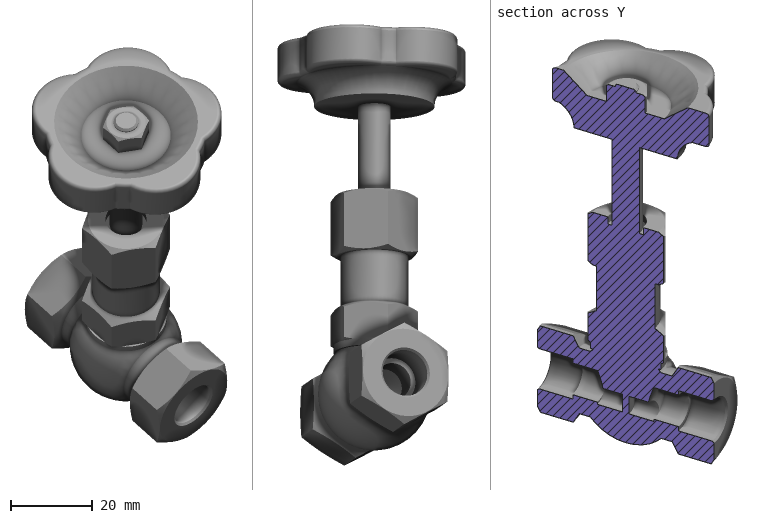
import cadquery as cq
import math


overall_height = 102

ball_radius = 13.8
run_half_length = 25.0
neck_diameter = 19.0
collar_diameter = 20.0
collar_bottom = 10.2

chamfer_slope = math.tan(math.radians(30))
end_nut_flats = 22.0
end_nut_face_diameter = 21.8
end_nut_inner_face = 13.1
bonnet_nut_flats = 19.0
bonnet_nut_bottom = 11.9
bonnet_nut_top = 21.6
gland_nut_face_diameter = 18.6
gland_nut_bottom = 34.3
gland_nut_top = 49.5
sleeve_diameter = 16.6

stem_diameter = 8.0
stem_tip_diameter = 6.0
stem_tip_chamfer = 0.5
stem_top = overall_height - ball_radius
stem_clearance_diameter = 10.0
stem_clearance_depth = 2.0

lobe_count = 5
lobe_radius = 11.1
lobe_offset = 12.6
lobe_start_angle = -7.5
rim_core_radius = 19.9
rim_bottom = 77.9
rim_top = 87.6
rim_fillet = 1.0
hub_bottom = 71.9
hub_radius = 14.7
flare_end_radius = 18.9
dish_top_radius = 17.5
dish_floor_radius = 10.9
dish_floor = 82.4
wheel_nut_flats = 10.0
wheel_nut_height = 5.0
wheel_nut_sink = 1.0
wheel_nut_face_diameter = 9.6

tube_bore_diameter = 11.4
tube_bore_depth = 10.0
tube_bore_chamfer = 0.5
inner_bore_diameter = 9.0
inner_bore_end = 8.0
drill_tip_angle = 140
drill_tip_length = inner_bore_diameter / 2 / math.tan(math.radians(drill_tip_angle / 2))
port_diameter = 5.0
port_drop = 2.7
port_end = 1.0


def cylinder(diameter, bottom, top):
    return cq.Workplane("XY").workplane(offset=bottom).circle(diameter / 2).extrude(top - bottom)


def revolve_about_z(points):
    """Turn an (r, z) outline around the Z axis."""
    return cq.Workplane("XZ").polyline(points).close().revolve(360, (0, 0), (0, 1))


def hex_nut(flats, bottom, top, bottom_face_diameter, top_face_diameter):
    """Hexagon along Z with corners on X; each end is a cone that starts at its round face."""
    corner_radius = flats / math.sqrt(3)
    bottom_radius = bottom_face_diameter / 2
    top_radius = top_face_diameter / 2
    envelope = revolve_about_z([
        (0, bottom),
        (bottom_radius, bottom),
        (corner_radius, bottom + (corner_radius - bottom_radius) * chamfer_slope),
        (corner_radius, top - (corner_radius - top_radius) * chamfer_slope),
        (top_radius, top),
        (0, top),
    ])
    prism = cq.Workplane("XY").workplane(offset=bottom).polygon(6, 2 * corner_radius).extrude(top - bottom)
    return prism.intersect(envelope)


def on_both_run_ends(feature):
    """Lay a Z-aligned feature along +X (its +X side becomes -Z) and mirror it to -X."""
    laid = feature.rotate((0, 0, 0), (0, 1, 0), 90)
    return laid.union(laid.mirror("YZ"))


def make_body():
    ball = cq.Workplane("XY").sphere(ball_radius)
    neck = cylinder(neck_diameter, 0, end_nut_inner_face)
    end_nut = hex_nut(
        end_nut_flats, end_nut_inner_face, run_half_length, neck_diameter, end_nut_face_diameter
    )
    collar = cylinder(collar_diameter, collar_bottom, bonnet_nut_bottom)
    return ball.union(on_both_run_ends(neck.union(end_nut))).union(collar)


def make_bores():
    tube_radius = tube_bore_diameter / 2
    inner_radius = inner_bore_diameter / 2
    tube_bore_bottom = run_half_length - tube_bore_depth
    bore = revolve_about_z([
        (0, inner_bore_end - drill_tip_length),
        (inner_radius, inner_bore_end),
        (inner_radius, tube_bore_bottom),
        (tube_radius, tube_bore_bottom),
        (tube_radius, run_half_length - tube_bore_chamfer),
        (tube_radius + tube_bore_chamfer, run_half_length),
        (0, run_half_length),
    ])
    port = cylinder(port_diameter, port_end, inner_bore_end).translate((port_drop, 0, 0))
    return on_both_run_ends(bore.union(port))


def make_bonnet():
    bonnet_nut = hex_nut(
        bonnet_nut_flats, bonnet_nut_bottom, bonnet_nut_top, collar_diameter, sleeve_diameter
    )
    sleeve = cylinder(sleeve_diameter, bonnet_nut_bottom, gland_nut_bottom)
    gland_nut = hex_nut(
        bonnet_nut_flats, gland_nut_bottom, gland_nut_top, gland_nut_face_diameter, gland_nut_face_diameter
    )
    clearance = cylinder(stem_clearance_diameter, gland_nut_top - stem_clearance_depth, gland_nut_top)
    return bonnet_nut.union(sleeve).union(gland_nut).cut(clearance)


def make_stem():
    shaft = cylinder(stem_diameter, gland_nut_bottom, dish_floor)
    tip = cylinder(stem_tip_diameter, dish_floor, stem_top).faces(">Z").chamfer(stem_tip_chamfer)
    wheel_nut = hex_nut(
        wheel_nut_flats, dish_floor - wheel_nut_sink, dish_floor + wheel_nut_height,
        wheel_nut_face_diameter, wheel_nut_face_diameter,
    )
    return shaft.union(tip).union(wheel_nut)


def rounded_disc(radius):
    """Disc as thick as the handwheel rim, with both edges rounded."""
    return cylinder(2 * radius, rim_bottom, rim_top).faces("<Z or >Z").edges().fillet(rim_fillet)


def make_handwheel():
    rim = rounded_disc(rim_core_radius)
    for index in range(lobe_count):
        angle = math.radians(lobe_start_angle + index * 360 / lobe_count)
        center = (lobe_offset * math.cos(angle), lobe_offset * math.sin(angle), 0)
        rim = rim.union(rounded_disc(lobe_radius).translate(center))

    flare_width = flare_end_radius - hub_radius
    flare_height = rim_bottom - hub_bottom
    flare_arc_radius = (flare_width ** 2 + flare_height ** 2) / (2 * flare_width)
    hub = (
        cq.Workplane("XZ")
        .moveTo(0, hub_bottom)
        .lineTo(hub_radius, hub_bottom)
        .radiusArc((flare_end_radius, rim_bottom), flare_arc_radius)
        .lineTo(0, rim_bottom)
        .close()
        .revolve(360, (0, 0), (0, 1))
    )
    dish = revolve_about_z([
        (0, dish_floor),
        (dish_floor_radius, dish_floor),
        (dish_top_radius, rim_top),
        (0, rim_top),
    ])
    return rim.union(hub).cut(dish)


body = make_body().cut(make_bores())
result = body.union(make_bonnet()).union(make_handwheel()).union(make_stem())